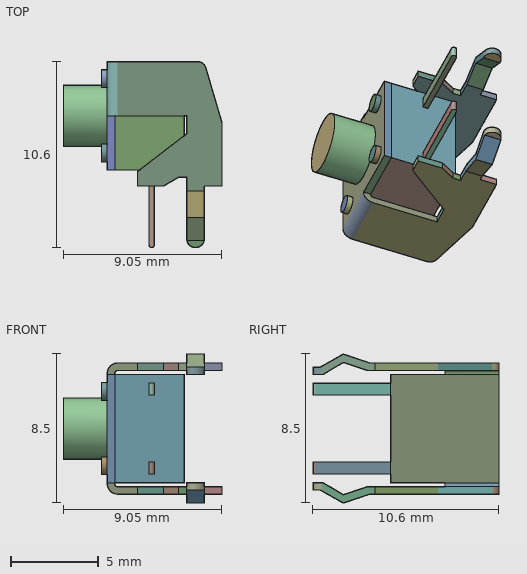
import cadquery as cq


half_side = 3.1
housing_back = 4.4
button_diameter = 3.5
button_length = 2.5
boss_diameter = 1.02
boss_length = 0.33
boss_offset = 2.12
pin_thickness = 0.31
pin_width = 0.69
pin_x = 2.53
pin_z = 2.25

sheet = 0.43
arm_outer_z = 3.74
bend_inner_radius = 0.17
arm_back = 6.55
arm_bottom = -4.0
tip_y = half_side - 10.6
corner_radius = 0.5
leg_front = 4.53
leg_width = 1.02

arm_inner_z = arm_outer_z - sheet
bend_outer_radius = bend_inner_radius + sheet
leg_back = leg_front + leg_width
tip_start = tip_y + leg_width / 2


def box(x_range, y_range, z_range):
    """Box spanning three coordinate ranges."""
    ranges = (x_range, y_range, z_range)
    size = [high - low for low, high in ranges]
    middle = [(low + high) / 2 for low, high in ranges]
    return cq.Workplane("XY").box(*size).translate(tuple(middle))


def button_and_bosses():
    """Button and four bosses, reaching back through the plate to the housing."""
    button = (
        cq.Workplane("YZ", origin=(-button_length, 0, 0))
        .circle(button_diameter / 2)
        .extrude(button_length + sheet)
    )
    bosses = (
        cq.Workplane("YZ", origin=(-boss_length, 0, 0))
        .rect(2 * boss_offset, 2 * boss_offset, forConstruction=True)
        .vertices()
        .circle(boss_diameter / 2)
        .extrude(boss_length + sheet)
    )
    return button.union(bosses)


def contact_pin(z):
    """Flat pin below the housing with a fully rounded end."""
    radius = pin_thickness / 2
    return (
        cq.Workplane("XY", origin=(0, 0, z - pin_width / 2))
        .moveTo(pin_x - radius, -half_side)
        .lineTo(pin_x - radius, tip_y + radius)
        .threePointArc((pin_x, tip_y), (pin_x + radius, tip_y + radius))
        .lineTo(pin_x + radius, -half_side)
        .close()
        .extrude(pin_width)
    )


def make_switch():
    """Housing with its button, bosses and contact pins."""
    side = (-half_side, half_side)
    switch = box((sheet, housing_back), side, side).union(button_and_bosses())
    for z in (-pin_z, pin_z):
        switch = switch.union(contact_pin(z))
    return switch


def upper_arm_plate():
    """Flat side arm behind the bend, with its slanted back and stepped lower edge."""
    slant_top_x = 5.52
    slant_bottom_y = -0.39
    notch_top_y = -3.51
    notch_front_x = 4.06
    notch_mouth_x = 3.22
    toe_x = 1.72
    toe_top_y = -3.18
    window_bottom_y = -1.02
    outline = [
        (bend_outer_radius, half_side),
        (slant_top_x, half_side),
        (arm_back, slant_bottom_y),
        (arm_back, arm_bottom),
        (leg_front, arm_bottom),
        (leg_front, notch_top_y),
        (notch_front_x, notch_top_y),
        (notch_mouth_x, arm_bottom),
        (toe_x, arm_bottom),
        (toe_x, toe_top_y),
        (leg_front, window_bottom_y),
        (leg_front, 0),
        (bend_outer_radius, 0),
    ]
    plate = cq.Workplane("XY", origin=(0, 0, arm_inner_z)).polyline(outline).close().extrude(sheet)
    back_corner = cq.selectors.NearestToPointSelector((slant_top_x, half_side, arm_outer_z - sheet / 2))
    return plate.edges(back_corner).fillet(corner_radius)


def upper_bend():
    """Rounded bend joining the plate to the upper arm."""
    bend_z = arm_outer_z - bend_outer_radius
    bend = (
        cq.Workplane("XZ", origin=(bend_outer_radius, half_side, bend_z))
        .circle(bend_outer_radius)
        .circle(bend_inner_radius)
        .extrude(half_side)
    )
    quarter = box((0, bend_outer_radius), (0, half_side), (bend_z, arm_outer_z))
    web = box((0, sheet), (0, half_side), (half_side, bend_z))
    return bend.intersect(quarter).union(web)


def upper_leg():
    """Kinked snap-in leg with a semicircular tip."""
    tip_outer_z = 3.51
    peak_y = -5.79
    peak_outer_z = 4.25
    peak_inner_z = 3.76
    leg_bend_y = -4.28
    inner_bend_y = -4.43
    outer_tip_bend_y = -7.1
    inner_tip_bend_y = -6.94
    profile = [
        (arm_bottom, arm_outer_z),
        (leg_bend_y, arm_outer_z),
        (peak_y, peak_outer_z),
        (outer_tip_bend_y, tip_outer_z),
        (tip_y, tip_outer_z),
        (tip_y, tip_outer_z - sheet),
        (inner_tip_bend_y, tip_outer_z - sheet),
        (peak_y, peak_inner_z),
        (inner_bend_y, arm_inner_z),
        (arm_bottom, arm_inner_z),
    ]
    leg = cq.Workplane("YZ", origin=(leg_front, 0, 0)).polyline(profile).close().extrude(leg_width)
    rounded_strip = (
        cq.Workplane("XY")
        .moveTo(leg_front, arm_bottom)
        .lineTo(leg_front, tip_start)
        .threePointArc((leg_front + leg_width / 2, tip_y), (leg_back, tip_start))
        .lineTo(leg_back, arm_bottom)
        .close()
        .extrude(2 * arm_outer_z)
    )
    return leg.intersect(rounded_strip)


def make_bracket():
    """Sheet-metal bracket: pierced front plate with two mirrored arms."""
    side = (-half_side, half_side)
    plate = box((0, sheet), side, side).cut(button_and_bosses())
    upper_arm = upper_arm_plate().union(upper_bend()).union(upper_leg())
    return plate.union(upper_arm).union(upper_arm.mirror("XY"))


switch = make_switch()
bracket = make_bracket()

result = cq.Compound.makeCompound([switch.val(), bracket.val()])